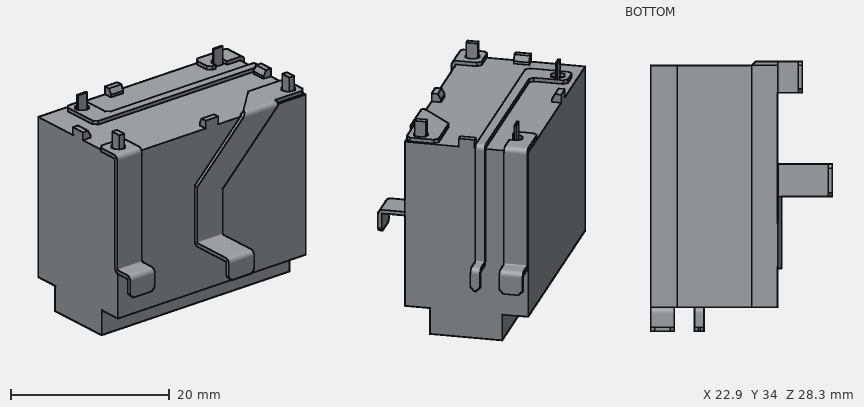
import cadquery as cq


HOUSING_X = 16.0
HOUSING_Y = 30.5
HOUSING_TOP = 25.78
BASE_HEIGHT = 3.5
BASE_START_X = 3.37
BASE_WIDTH = 9.35

LUG_WIDTH = 2.0
LUG_HEIGHT = 1.1
LUG_TOP_DEPTH = 0.82
LUG_BASE_DEPTH = 1.23
LUG_STEP = 0.35
LEFT_LUG_OFFSET = 3.4

PIN_HEIGHT = 2.52
PIN_LENGTH = 1.45
THIN_PIN_THICKNESS = 0.25
THICK_PIN_THICKNESS = 0.8
LEFT_PIN_X = 2.28
RIGHT_PIN_INSET = 1.75
RIGHT_PIN_X = HOUSING_X - RIGHT_PIN_INSET
CORNER_PIN_INSET = 1.45
COIL_PIN = (LEFT_PIN_X, 27.3)
LINK_PIN = (LEFT_PIN_X, 5.28)
WIDE_PIN = (RIGHT_PIN_X, HOUSING_Y - CORNER_PIN_INSET)
CORNER_PIN = (RIGHT_PIN_X, CORNER_PIN_INSET)

SHEET = 0.5
LIFT = 0.1
SIDE_GAP = 0.05
INNER_RADIUS = 0.17
OUTER_RADIUS = INNER_RADIUS + SHEET
PLATE_TOP = HOUSING_TOP + LIFT + SHEET
SHELF_TOP = 10.6
FOOT_BOTTOM = 7.55
CORNER_CUT = 0.5
HOLE_DIAMETER = 1.8
CUT_LENGTH = 102.15

REAR_FOOT_REACH = 3.03
CORNER_FOOT_REACH = 3.13
WIDE_FOOT_REACH = 6.9

COIL_WIDTH = 3.0
COIL_PLATE_FRONT = 25.35
COIL_SLOT_X = 2.42

LINK_STRIP_LEFT = 5.5
LINK_STRIP_RIGHT = 6.75
LINK_PAD_LEFT = 0.7
LINK_PAD_FRONT = 3.8
LINK_PAD_REAR = 6.8

CORNER_PLATE_LEFT = 12.75
CORNER_FRONT = -0.5
CORNER_REAR = 3.47

WIDE_PLATE_LEFT = 11.75
WIDE_PLATE_REAR = 30.47
WIDE_PLATE_SIDE_FRONT = 24.6
WIDE_LEG_TOP_REAR = 25.65
WIDE_REAR_SLANT_DROP = 0.4
WIDE_FOOT_FRONT = 12.43
WIDE_FOOT_REAR = 16.55


def box(x_min, x_max, y_min, y_max, z_min, z_max):
    size = (x_max - x_min, y_max - y_min, z_max - z_min)
    return cq.Workplane("XY").box(*size, centered=False).translate((x_min, y_min, z_min))


def make_lug(x, y, turn):
    """Lug whose outer face passes through (x, y); at turn 0 it reaches inward along +X."""
    lug = (
        cq.Workplane("XZ")
        .polyline([
            (0, 0),
            (LUG_BASE_DEPTH, 0),
            (LUG_BASE_DEPTH, LUG_STEP),
            (LUG_TOP_DEPTH, LUG_HEIGHT),
            (0, LUG_HEIGHT),
        ])
        .close()
        .extrude(LUG_WIDTH / 2, both=True)
    )
    return lug.rotate((0, 0, 0), (0, 0, 1), turn).translate((x, y, HOUSING_TOP))


def make_pin(center, length_x, length_y):
    return (
        cq.Workplane("XY", origin=(*center, HOUSING_TOP))
        .rect(length_x, length_y)
        .extrude(PIN_HEIGHT)
    )


def make_housing():
    base_end_x = BASE_START_X + BASE_WIDTH
    body = box(0, HOUSING_X, 0, HOUSING_Y, BASE_HEIGHT, HOUSING_TOP)
    body = body.union(box(BASE_START_X, base_end_x, 0, HOUSING_Y, 0, BASE_HEIGHT))
    lug_places = [
        (0, HOUSING_Y / 2 - LEFT_LUG_OFFSET, 0),
        (HOUSING_X / 2, 0, 90),
        (HOUSING_X, HOUSING_Y / 2, 180),
        (HOUSING_X / 2, HOUSING_Y, 270),
    ]
    for x, y, turn in lug_places:
        body = body.union(make_lug(x, y, turn))
    for center in (COIL_PIN, LINK_PIN):
        body = body.union(make_pin(center, THIN_PIN_THICKNESS, PIN_LENGTH))
    for center in (WIDE_PIN, CORNER_PIN):
        body = body.union(make_pin(center, PIN_LENGTH, THICK_PIN_THICKNESS))
    return body


def bent_sheet(plane, face, foot_reach):
    """Very wide sheet: plate over the top, leg down the given housing face, shelf and foot."""
    leg_in = face + SIDE_GAP
    leg_out = leg_in + SHEET
    foot_out = face + foot_reach
    foot_in = foot_out - SHEET
    plate_bottom = PLATE_TOP - SHEET
    shelf_bottom = SHELF_TOP - SHEET
    return (
        cq.Workplane(plane)
        .moveTo(0, PLATE_TOP)
        .lineTo(leg_out - OUTER_RADIUS, PLATE_TOP)
        .tangentArcPoint((leg_out, PLATE_TOP - OUTER_RADIUS), relative=False)
        .lineTo(leg_out, SHELF_TOP + INNER_RADIUS)
        .tangentArcPoint((leg_out + INNER_RADIUS, SHELF_TOP), relative=False)
        .lineTo(foot_out - OUTER_RADIUS, SHELF_TOP)
        .tangentArcPoint((foot_out, SHELF_TOP - OUTER_RADIUS), relative=False)
        .lineTo(foot_out, FOOT_BOTTOM)
        .lineTo(foot_in, FOOT_BOTTOM)
        .lineTo(foot_in, shelf_bottom - INNER_RADIUS)
        .tangentArcPoint((foot_in - INNER_RADIUS, shelf_bottom), relative=False)
        .lineTo(leg_in + OUTER_RADIUS, shelf_bottom)
        .tangentArcPoint((leg_in, shelf_bottom + OUTER_RADIUS), relative=False)
        .lineTo(leg_in, plate_bottom - INNER_RADIUS)
        .tangentArcPoint((leg_in - INNER_RADIUS, plate_bottom), relative=False)
        .lineTo(0, plate_bottom)
        .close()
        .extrude(CUT_LENGTH / 2, both=True)
    )


def rear_sheet():
    return bent_sheet("YZ", HOUSING_Y, REAR_FOOT_REACH)


def right_sheet(foot_reach):
    return bent_sheet("XZ", HOUSING_X, foot_reach)


def plan_prism(points):
    """Tall prism that trims a bent sheet to its plan outline."""
    return cq.Workplane("XY").polyline(points).close().extrude(CUT_LENGTH)


def pin_hole(center):
    return cq.Workplane("XY").center(*center).circle(HOLE_DIAMETER / 2).extrude(CUT_LENGTH)


def cut_foot_corners(terminal, thickness_edges):
    """Chamfer the two lower corners of the foot."""
    return terminal.faces("<Z").edges(thickness_edges).chamfer(CORNER_CUT)


def make_coil_terminal():
    rear_end = HOUSING_Y + REAR_FOOT_REACH
    outline = plan_prism([
        (0, rear_end),
        (0, COIL_PLATE_FRONT + CORNER_CUT),
        (CORNER_CUT, COIL_PLATE_FRONT),
        (COIL_WIDTH - CORNER_CUT, COIL_PLATE_FRONT),
        (COIL_WIDTH, COIL_PLATE_FRONT + CORNER_CUT),
        (COIL_WIDTH, rear_end),
    ])
    pin_y = COIL_PIN[1]
    radius = HOLE_DIAMETER / 2
    slot = pin_hole((COIL_SLOT_X, pin_y)).union(
        box(COIL_SLOT_X, COIL_WIDTH, pin_y - radius, pin_y + radius, 0, CUT_LENGTH)
    )
    return cut_foot_corners(rear_sheet().intersect(outline).cut(slot), "|Y")


def make_link_terminal():
    rear_end = HOUSING_Y + REAR_FOOT_REACH
    outline = plan_prism([
        (LINK_STRIP_RIGHT, rear_end),
        (LINK_STRIP_LEFT, rear_end),
        (LINK_STRIP_LEFT, LINK_PAD_REAR + CORNER_CUT),
        (LINK_STRIP_LEFT - CORNER_CUT, LINK_PAD_REAR),
        (LINK_PAD_LEFT + CORNER_CUT, LINK_PAD_REAR),
        (LINK_PAD_LEFT, LINK_PAD_REAR - CORNER_CUT),
        (LINK_PAD_LEFT, LINK_PAD_FRONT + CORNER_CUT),
        (LINK_PAD_LEFT + CORNER_CUT, LINK_PAD_FRONT),
        (LINK_STRIP_RIGHT - CORNER_CUT, LINK_PAD_FRONT),
        (LINK_STRIP_RIGHT, LINK_PAD_FRONT + CORNER_CUT),
    ])
    return cut_foot_corners(rear_sheet().intersect(outline).cut(pin_hole(LINK_PIN)), "|Y")


def make_corner_terminal():
    right_end = HOUSING_X + CORNER_FOOT_REACH
    outline = plan_prism([
        (right_end, CORNER_FRONT),
        (right_end, CORNER_REAR),
        (CORNER_PLATE_LEFT + CORNER_CUT, CORNER_REAR),
        (CORNER_PLATE_LEFT, CORNER_REAR - CORNER_CUT),
        (CORNER_PLATE_LEFT, CORNER_FRONT + CORNER_CUT),
        (CORNER_PLATE_LEFT + CORNER_CUT, CORNER_FRONT),
    ])
    sheet = right_sheet(CORNER_FOOT_REACH).intersect(outline)
    return cut_foot_corners(sheet.cut(pin_hole(CORNER_PIN)), "|X")


def make_wide_terminal():
    right_end = HOUSING_X + WIDE_FOOT_REACH
    bend_start = HOUSING_X + SIDE_GAP - INNER_RADIUS
    leg_top_front = WIDE_PLATE_SIDE_FRONT - (bend_start - WIDE_PLATE_LEFT)
    outline = plan_prism([
        (WIDE_PLATE_LEFT, WIDE_PLATE_SIDE_FRONT),
        (WIDE_PLATE_LEFT, WIDE_PLATE_REAR - CORNER_CUT),
        (WIDE_PLATE_LEFT + CORNER_CUT, WIDE_PLATE_REAR),
        (bend_start - CORNER_CUT, WIDE_PLATE_REAR),
        (bend_start, WIDE_PLATE_REAR - CORNER_CUT),
        (bend_start, WIDE_LEG_TOP_REAR),
        (right_end, WIDE_LEG_TOP_REAR),
        (right_end, WIDE_FOOT_FRONT),
        (bend_start, WIDE_FOOT_FRONT),
        (bend_start, leg_top_front),
    ])
    front_slant_end = PLATE_TOP - (leg_top_front - WIDE_FOOT_FRONT)
    rear_slant_start = PLATE_TOP - WIDE_REAR_SLANT_DROP
    rear_slant_end = rear_slant_start - (WIDE_LEG_TOP_REAR - WIDE_FOOT_REAR)
    side_outline = (
        cq.Workplane("YZ")
        .polyline([
            (leg_top_front, PLATE_TOP),
            (WIDE_FOOT_FRONT, front_slant_end),
            (WIDE_FOOT_FRONT, FOOT_BOTTOM),
            (WIDE_FOOT_REAR, FOOT_BOTTOM),
            (WIDE_FOOT_REAR, rear_slant_end),
            (WIDE_LEG_TOP_REAR, rear_slant_start),
            (WIDE_LEG_TOP_REAR, HOUSING_TOP),
            (WIDE_PLATE_REAR, HOUSING_TOP),
            (WIDE_PLATE_REAR, PLATE_TOP),
        ])
        .close()
        .extrude(CUT_LENGTH)
    )
    sheet = right_sheet(WIDE_FOOT_REACH).intersect(outline).intersect(side_outline)
    return cut_foot_corners(sheet.cut(pin_hole(WIDE_PIN)), "|X")


housing = make_housing()
coil_terminal = make_coil_terminal()
link_terminal = make_link_terminal()
corner_terminal = make_corner_terminal()
wide_terminal = make_wide_terminal()

result = cq.Compound.makeCompound([
    housing.solids().val(),
    coil_terminal.solids().val(),
    link_terminal.solids().val(),
    corner_terminal.solids().val(),
    wide_terminal.solids().val(),
])